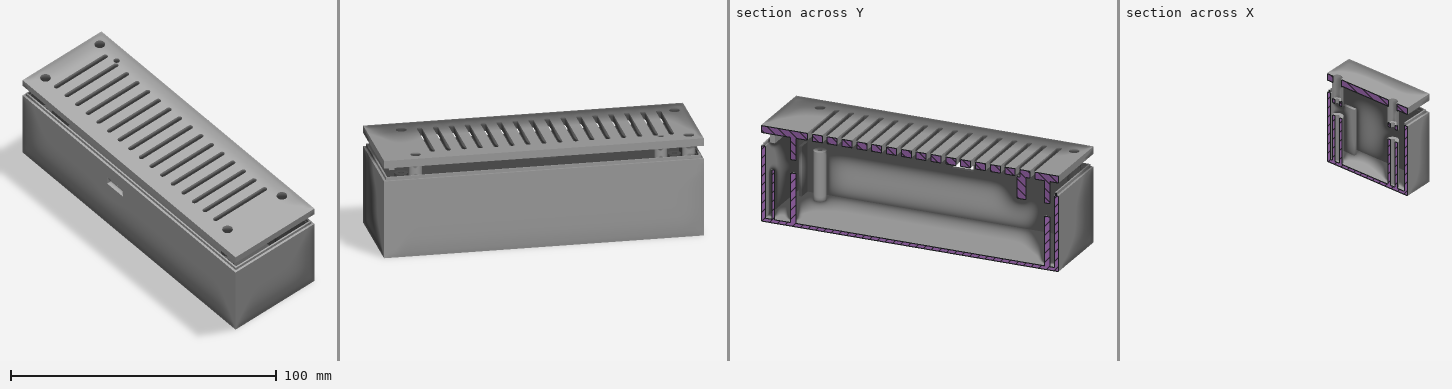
import cadquery as cq
length = 122.8
width = 39.2
wall = 1.8
floor = 1.6
housing_height = 32.0

rim_height = 1.2
ledge_height = housing_height - rim_height
rim_inset = 0.9
rim_thickness = 0.6

lid_gap = 4.0
lid_thickness = 3.0
lid_bottom = housing_height + lid_gap
lid_top = lid_bottom + lid_thickness

screw_x = (4.75, 109.7)
screw_y = (7.3, 34.3)
screw_points = [(x, y) for x in screw_x for y in screw_y]
post_diameter = 5.0
pilot_diameter = 2.0
screw_head_diameter = 4.0
lid_post_length = 9.0
screw_seat_thickness = 2.0
lid_post_bottom = lid_bottom - lid_post_length

lid_travel = lid_bottom - ledge_height
floor_post_top = lid_post_bottom - lid_travel

tube_x = 15.35
tube_y = 33.5
tube_diameter = 4.8
tube_bore = 2.4
tube_length = 9.0

slot_count = 16
slot_pitch = 6.125
slot_first_x = 10.85
slot_width = 2.0
slot_length = 26.2

port_width = 9.0
port_height = 3.6
port_x = 53.3
port_z = 23.0

partition_x = 117.3
partition_thickness = 1.2
partition_gap = 25.0
partition_height = floor_post_top - floor
tab_thickness = 2.0
tab_width = 24.0
tab_height = 3.7


def block(size, corner):
    return cq.Workplane("XY").box(*size, centered=False).translate(corner)


def inset_block(inset, z_bottom, z_top):
    size = (length - 2 * inset, width - 2 * inset, z_top - z_bottom)
    return block(size, (inset, inset, z_bottom))


def cylinders(points, diameter, z_bottom, z_top):
    base = cq.Workplane("XY").workplane(offset=z_bottom)
    return base.pushPoints(points).circle(diameter / 2).extrude(z_top - z_bottom)


def make_shell():
    outer = inset_block(0, 0, ledge_height)
    cavity = inset_block(wall, floor, ledge_height)
    rim_outer = inset_block(rim_inset, ledge_height, housing_height)
    rim_opening = inset_block(rim_inset + rim_thickness, ledge_height, housing_height)
    return outer.cut(cavity).union(rim_outer.cut(rim_opening))


def make_partition():
    inner_width = width - 2 * wall
    panel = block((partition_thickness, inner_width, partition_height), (partition_x, wall, floor))
    gap = block(
        (partition_thickness, partition_gap, partition_height),
        (partition_x, (width - partition_gap) / 2, floor),
    )
    return panel.cut(gap)


def make_housing():
    port = block(
        (port_width, wall, port_height),
        (port_x - port_width / 2, 0, port_z - port_height / 2),
    )
    return (
        make_shell()
        .cut(port)
        .union(make_partition())
        .union(cylinders(screw_points, post_diameter, floor, floor_post_top))
        .cut(cylinders(screw_points, pilot_diameter, floor, floor_post_top))
    )


def make_slots():
    points = [(slot_first_x + i * slot_pitch, width / 2) for i in range(slot_count)]
    plane = cq.Workplane("XY").workplane(offset=lid_bottom)
    return plane.pushPoints(points).slot2D(slot_length, slot_width, 90).extrude(lid_thickness)


def make_lid():
    tube_bottom = lid_bottom - tube_length
    tube_points = [(tube_x, tube_y)]
    plate = block((length, width, lid_thickness), (0, 0, lid_bottom))
    tab = block(
        (tab_thickness, tab_width, tab_height),
        (partition_x, (width - tab_width) / 2, lid_bottom - tab_height),
    )
    screw_seat = lid_post_bottom + screw_seat_thickness
    return (
        plate.cut(make_slots())
        .union(tab)
        .union(cylinders(tube_points, tube_diameter, tube_bottom, lid_bottom))
        .union(cylinders(screw_points, post_diameter, lid_post_bottom, lid_bottom))
        .cut(cylinders(screw_points, pilot_diameter, lid_post_bottom, lid_top))
        .cut(cylinders(screw_points, screw_head_diameter, screw_seat, lid_top))
        .cut(cylinders(tube_points, tube_bore, tube_bottom, lid_top))
    )


housing = make_housing()
lid = make_lid()

result = cq.Compound.makeCompound([housing.val(), lid.val()])